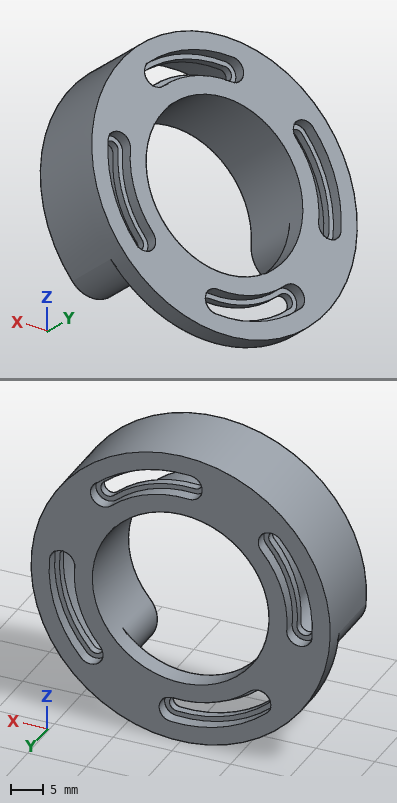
import cadquery as cq
import math

outer_radius = 25.5
bore_radius = 15.05
total_depth = 13.5
plate_thickness = 3.4
wall_thickness = 0.5
slot_width = 2.6
recess_width = 4.3
recess_depth = 2.05
slot_count = 4
slot_sweep = 45.0
wall_sweep = 225.0
wall_start = -40.7

mid_radius = (outer_radius + bore_radius) / 2
band_width = outer_radius - bore_radius


def polar(radius, angle):
    """Point at an angle in degrees around the ring axis."""
    radians = math.radians(angle)
    return radius * math.cos(radians), radius * math.sin(radians)


def curved_slot(width, start, sweep, depth, back=0):
    """Solid arc band with round ends, centred on the middle radius of the ring.

    It grows toward -Y from a flat face at Y = -back.
    """
    inner = mid_radius - width / 2
    outer = mid_radius + width / 2
    middle = start + sweep / 2
    end = start + sweep
    end_x, end_y = polar(mid_radius, end)
    end_dx, end_dy = polar(width / 2, end + 90)
    start_x, start_y = polar(mid_radius, start)
    start_dx, start_dy = polar(width / 2, start - 90)
    return (
        cq.Workplane("XZ", origin=(0, -back, 0))
        .moveTo(*polar(outer, start))
        .threePointArc(polar(outer, middle), polar(outer, end))
        .threePointArc((end_x + end_dx, end_y + end_dy), polar(inner, end))
        .threePointArc(polar(inner, middle), polar(inner, start))
        .threePointArc((start_x + start_dx, start_y + start_dy), polar(outer, start))
        .close()
        .extrude(depth)
    )


plate = cq.Workplane("XZ").circle(outer_radius).circle(bore_radius).extrude(plate_thickness)
plate = plate.rotate((0, 0, 0), (0, 1, 0), -90)

wall_height = total_depth - plate_thickness
wall = curved_slot(band_width, wall_start, wall_sweep, wall_height, plate_thickness)
channel_width = band_width - 2 * wall_thickness
channel = curved_slot(channel_width, wall_start, wall_sweep, wall_height, plate_thickness)
wall = wall.cut(channel)

result = plate.union(wall)

for index in range(slot_count):
    slot_start = wall_start + index * 360 / slot_count
    slot = curved_slot(slot_width, slot_start, slot_sweep, plate_thickness)
    recess = curved_slot(recess_width, slot_start, slot_sweep, recess_depth)
    result = result.cut(slot).cut(recess)